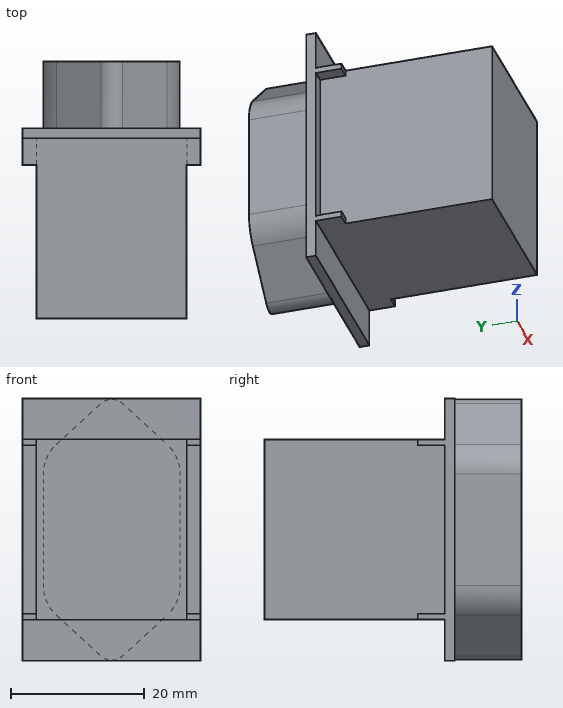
import cadquery as cq

flange_width = 26.7
flange_height = 39.3
flange_thickness = 1.55

body_width = 22.5
body_height = 27.0
body_length = 27.0

tab_length = 4.0
tab_thickness = 0.9

plug_width = 20.5
plug_peak_height = 40.8
plug_length = 10.0
plug_side_height = 21.95
side_corner_radius = 6.0
peak_radius = 2.45


def make_flange():
    return cq.Workplane("XY").box(
        flange_width, flange_thickness, flange_height, centered=(True, False, True)
    )


def make_body():
    return (
        cq.Workplane("XY")
        .box(body_width, body_length, body_height, centered=(True, False, True))
        .translate((0, -body_length, 0))
    )


def make_tab_strip(side):
    """Strip across the flange width whose ends form a pair of tabs (side: +1 top, -1 bottom)."""
    center_z = side * (body_height - tab_thickness) / 2
    return (
        cq.Workplane("XY")
        .box(flange_width, tab_length, tab_thickness, centered=(True, False, True))
        .translate((0, -tab_length, center_z))
    )


def make_plug():
    half_width = plug_width / 2
    half_peak = plug_peak_height / 2
    half_side = plug_side_height / 2
    outline = [
        (half_width, -half_side),
        (half_width, half_side),
        (0, half_peak),
        (-half_width, half_side),
        (-half_width, -half_side),
        (0, -half_peak),
    ]
    plug = cq.Workplane("XZ").polyline(outline).close().extrude(-plug_length)
    plug = plug.edges("|Y and (<X or >X)").fillet(side_corner_radius)
    plug = plug.edges("|Y and (<Z or >Z)").fillet(peak_radius)
    return plug.translate((0, flange_thickness, 0))


result = make_flange().union(make_body()).union(make_plug())
for side in (1, -1):
    result = result.union(make_tab_strip(side))